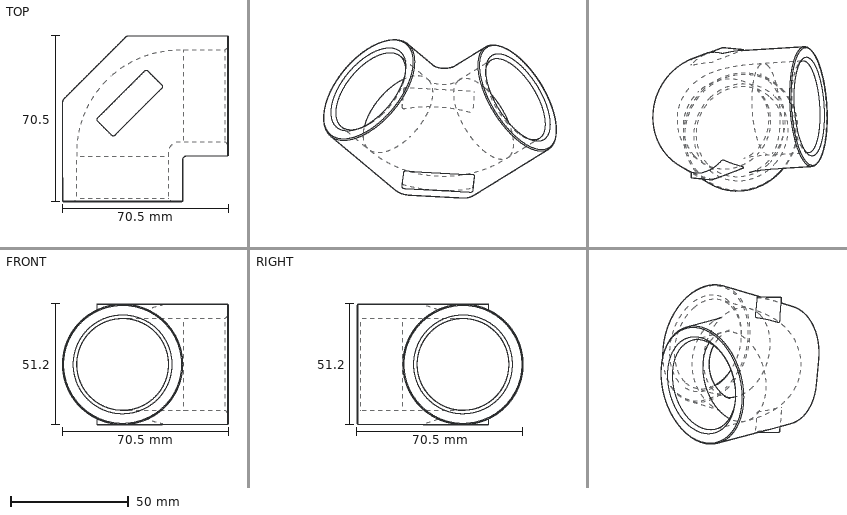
import cadquery as cq
import math

outer_diameter = 51.05
outer_radius = outer_diameter / 2
overall_size = 70.5
arm_length = overall_size - outer_radius
rim_chamfer = 0.5

heel_joint = 1.8
heel_fillet = 2.0

throat_radius = 1.55
throat_offset = outer_radius + throat_radius

socket_diameter = 39.0
passage_diameter = 38.9
mouth_chamfer = 1.5
socket_end = 25.7
passage_bend_radius = 24.0

plate_length = 30.1
plate_width = 10.35
plate_corner_radius = 1.0
plate_edge_fillet = 0.2
plate_center = 3.0
plate_height = 51.2

bend_angle = 90
selection_margin = 0.1


def both_arms(arm):
    """Add the +X counterpart of an arm that points along -Y."""
    return arm.union(arm.rotate((0, 0, 0), (0, 0, 1), bend_angle))


def rod(diameter, start, end):
    """Round bar along -Y between two distances from the bend."""
    return cq.Workplane("XZ").workplane(offset=start).circle(diameter / 2).extrude(end - start)


def quarter_torus(bend_radius, tube_diameter):
    """Curved tube joining the -Y axis to the +X axis."""
    return (
        cq.Workplane("XZ", origin=(0, -bend_radius, 0))
        .circle(tube_diameter / 2)
        .revolve(bend_angle, (bend_radius, 0, 0), (bend_radius, -1, 0))
    )


def outer_arms():
    arm = rod(outer_diameter, heel_joint, arm_length).faces("<Y").chamfer(rim_chamfer)
    return both_arms(arm)


def heel():
    """Elliptic cylinder at 45 degrees that meets both arms in their end circles."""
    heel_plane = cq.Plane(
        origin=(-overall_size, -overall_size - heel_joint, 0), xDir=(1, -1, 0), normal=(1, 1, 0)
    )
    cylinder = (
        cq.Workplane(heel_plane)
        .ellipse(outer_radius / math.sqrt(2), outer_radius)
        .extrude(2 * overall_size)
    )
    corner = (
        cq.Workplane("XY")
        .box(overall_size, overall_size, overall_size, centered=(False, False, True))
        .translate((heel_joint - overall_size, -heel_joint, 0))
    )
    return cylinder.intersect(corner)


def throat():
    """Inner half of the bend, with flat cheeks filling up to the arm crests."""
    cheeks = (
        cq.Workplane("XY", origin=(0, 0, -outer_radius))
        .moveTo(0, 0)
        .lineTo(throat_offset, 0)
        .radiusArc((0, -throat_offset), -throat_offset)
        .close()
        .extrude(outer_diameter)
    )
    return quarter_torus(throat_offset, outer_diameter).union(cheeks)


def label_plates():
    return (
        cq.Workplane("XY")
        .box(plate_length, plate_width, plate_height)
        .edges("|Z")
        .fillet(plate_corner_radius)
        .faces("<Z or >Z")
        .edges()
        .fillet(plate_edge_fillet)
        .rotate((0, 0, 0), (0, 0, 1), bend_angle / 2)
        .translate((plate_center, -plate_center, 0))
    )


def bore():
    mouth = (
        cq.Workplane("XZ", origin=(0, -arm_length, 0))
        .circle(socket_diameter / 2 + mouth_chamfer)
        .workplane(offset=-mouth_chamfer)
        .circle(socket_diameter / 2)
        .loft()
    )
    socket = rod(socket_diameter, socket_end, arm_length)
    passage = rod(passage_diameter, passage_bend_radius, socket_end)
    arm = socket.union(passage).union(mouth)
    return both_arms(arm).union(quarter_torus(passage_bend_radius, passage_diameter))


def heel_joint_edges():
    """Selector for the two outer arcs where the heel meets the arms."""
    near = heel_joint - selection_margin
    far = heel_joint + selection_margin
    arm_joint = cq.selectors.BoxSelector((-outer_radius, -far, -outer_radius), (-far, -near, outer_radius))
    other_joint = cq.selectors.BoxSelector((near, far, -outer_radius), (far, outer_radius, outer_radius))
    return arm_joint + other_joint


body = outer_arms().union(heel()).union(throat()).union(label_plates())
body = body.edges(heel_joint_edges()).fillet(heel_fillet)
result = body.cut(bore())